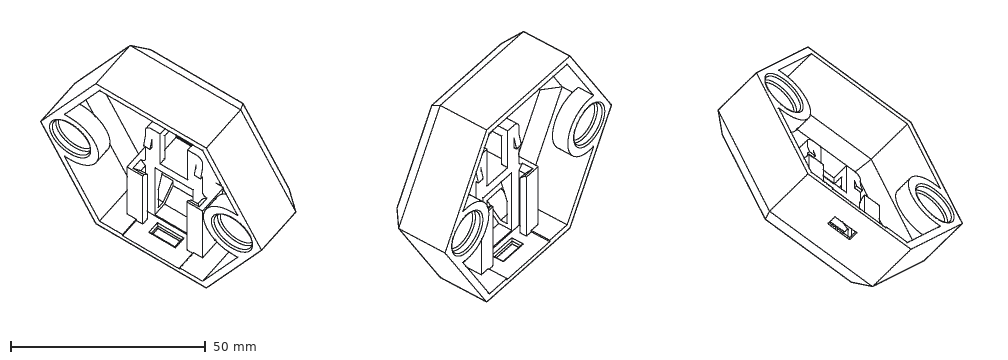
import cadquery as cq
import math

CORNER_RADIUS = 35.0
DEPTH = 20.0
BACK_SLOPE = 5.0
WALL = 2.0

APOTHEM = CORNER_RADIUS * math.cos(math.pi / 6)
FRONT_Y = -DEPTH / 2
BACK_Y = DEPTH / 2
FLOOR_Y = BACK_Y - WALL
INNER_APOTHEM = APOTHEM - WALL
SLOPE_BEND = math.tan(math.pi / 8)
FLOOR_APOTHEM = APOTHEM - BACK_SLOPE - WALL * SLOPE_BEND
INNER_SLOPE_Y = FLOOR_Y - (INNER_APOTHEM - FLOOR_APOTHEM)

BOSS_X = 25.6
BOSS_RADIUS = 9.0
BOSS_DEPTH = 5.0
MAGNET_RADIUS = 6.0
MAGNET_POCKET_DEPTH = 2.5
MAGNET_CHAMFER = 0.5

BED_Y = 0.0
BED_HALF_WIDTH = 9.0
BED_TOP = 8.0
BED_CORNER_RADIUS = 2.0
RAIL_TOP = -8.0
RAIL_HALF_WIDTH = 12.0
RAIL_FRONT_Y = -4.0
LIP_THICKNESS = 2.0
LIP_HALF_GAP = 7.0
LIP_BACK_Y = RAIL_FRONT_Y + LIP_THICKNESS
GUSSET_RADIUS = 1.5
LEAD_IN = 1.5

WINDOW_HALF_WIDTH = 6.0
PORT_HALF_HEIGHT = 5.0
PORT_FRONT_Y = 2.0
PORT_CHAMFER = 0.8
SLOT_HALF_WIDTH = 4.35
SLOT_FLOOR_Y = 5.0
ARM_THICKNESS = 1.5
PAD_THICKNESS = 1.5
SIDE_SLANT_Z = -19.05
SIDE_SLANT_DEPTH = 3.8

BUMP_WIDTH = 2.0
BUMP_HEIGHT = 3.5
BUMP_DEPTH = 0.8
BUMP_LIP = 0.2

RELIEF_DEPTH = 0.5
RELIEF_Z = -INNER_APOTHEM - RELIEF_DEPTH
CONNECTOR_WIDTH = 8.4
CONNECTOR_HEIGHT = 3.8
CONNECTOR_Y = -3.3
CONNECTOR_CHAMFER = 0.5

OVERCUT = 0.7


def box(x0, x1, y0, y1, z0, z1):
    return cq.Workplane("XY").box(x1 - x0, y1 - y0, z1 - z0, centered=False).translate((x0, y0, z0))


def hexagon(y, apothem):
    diameter = 2 * apothem / math.cos(math.pi / 6)
    return cq.Workplane("XZ", origin=(0, y, 0)).polygon(6, diameter)


def hex_prism(y0, y1, apothem):
    return hexagon(y0, apothem).extrude(y0 - y1)


def hex_frustum(y0, y1, apothem0, apothem1):
    diameter = 2 * apothem1 / math.cos(math.pi / 6)
    return hexagon(y0, apothem0).workplane(offset=y0 - y1).polygon(6, diameter).loft(ruled=True)


def disc(x, y0, y1, radius):
    return cq.Workplane("XZ", origin=(x, y0, 0)).circle(radius).extrude(y0 - y1)


def both_sides(right_half):
    return right_half.union(right_half.mirror("YZ"))


def outer_body():
    slope_y = BACK_Y - BACK_SLOPE
    prism = hex_prism(FRONT_Y, slope_y, APOTHEM)
    return prism.union(hex_frustum(slope_y, BACK_Y, APOTHEM, APOTHEM - BACK_SLOPE))


def cavity():
    prism = hex_prism(FRONT_Y, INNER_SLOPE_Y, INNER_APOTHEM)
    return prism.union(hex_frustum(INNER_SLOPE_Y, FLOOR_Y, INNER_APOTHEM, FLOOR_APOTHEM))


def boss():
    back = FRONT_Y + BOSS_DEPTH
    corner_fill = box(BOSS_X, CORNER_RADIUS, FRONT_Y, back, -BOSS_RADIUS, BOSS_RADIUS)
    return disc(BOSS_X, FRONT_Y, back, BOSS_RADIUS).union(corner_fill)


def magnet_pocket():
    """Round pocket, wider at the mouth and narrower at the bottom by the same chamfer."""
    bottom = FRONT_Y + MAGNET_POCKET_DEPTH
    profile = [
        (0, FRONT_Y),
        (MAGNET_RADIUS + MAGNET_CHAMFER, FRONT_Y),
        (MAGNET_RADIUS, FRONT_Y + MAGNET_CHAMFER),
        (MAGNET_RADIUS, bottom - MAGNET_CHAMFER),
        (MAGNET_RADIUS - MAGNET_CHAMFER, bottom),
        (0, bottom),
    ]
    return cq.Workplane("XY").polyline(profile).close().revolve(360).translate((BOSS_X, 0, 0))


def bed():
    block = box(-BED_HALF_WIDTH, BED_HALF_WIDTH, BED_Y, BACK_Y, -APOTHEM, BED_TOP)
    return block.edges("|Y and >Z").fillet(BED_CORNER_RADIUS)


def rail():
    """Right rail: side block, board-retaining lip, lead-in at the top and the gusset beside the bed."""
    side = box(BED_HALF_WIDTH, RAIL_HALF_WIDTH, RAIL_FRONT_Y, BACK_Y, -APOTHEM, RAIL_TOP)
    lip = box(LIP_HALF_GAP, RAIL_HALF_WIDTH, RAIL_FRONT_Y, LIP_BACK_Y, -APOTHEM, RAIL_TOP)
    arc_middle = GUSSET_RADIUS * (1 - math.sqrt(0.5))
    gusset = (
        cq.Workplane("XZ", origin=(BED_HALF_WIDTH, BED_Y, RAIL_TOP))
        .lineTo(GUSSET_RADIUS, 0)
        .threePointArc((arc_middle, arc_middle), (0, GUSSET_RADIUS)).close()
        .extrude(BED_Y - BACK_Y)
    )
    return side.union(lip).union(gusset).cut(lead_in())


def lead_in():
    """Funnel that widens the board slot outwards and forwards towards the rail top."""
    slot_depth = BED_Y - LIP_BACK_Y
    return (
        cq.Workplane("XY", origin=(0, BED_Y, RAIL_TOP - LEAD_IN))
        .rect(BED_HALF_WIDTH, -slot_depth, centered=False)
        .workplane(offset=LEAD_IN)
        .rect(BED_HALF_WIDTH + LEAD_IN, -slot_depth - LEAD_IN, centered=False)
        .loft(ruled=True)
    )


def side_opening():
    """Passage along X behind the rails and arms, leaving a pad on the sloped wall below."""
    pad_z = -INNER_APOTHEM + PAD_THICKNESS
    pad_slope_y = INNER_SLOPE_Y - PAD_THICKNESS * SLOPE_BEND
    back = BED_Y + ARM_THICKNESS
    outline = [
        (back, pad_z),
        (pad_slope_y, pad_z),
        (FLOOR_Y, pad_z + FLOOR_Y - pad_slope_y),
        (FLOOR_Y, RAIL_TOP),
        (back + SIDE_SLANT_DEPTH, RAIL_TOP),
        (back, SIDE_SLANT_Z),
    ]
    length = RAIL_HALF_WIDTH - WINDOW_HALF_WIDTH
    return cq.Workplane("YZ", origin=(WINDOW_HALF_WIDTH, 0, 0)).polyline(outline).close().extrude(length)


def bed_window():
    """Part of the cavity seen between the two arms, below the crossbar."""
    column = box(-WINDOW_HALF_WIDTH, WINDOW_HALF_WIDTH, BED_Y, BACK_Y, -APOTHEM, RAIL_TOP)
    return column.intersect(cavity())


def floor_port():
    """Wide port through the floor, with a narrower slot in front of it that is open at the top."""
    port = box(
        -WINDOW_HALF_WIDTH, WINDOW_HALF_WIDTH, PORT_FRONT_Y, BACK_Y,
        -PORT_HALF_HEIGHT, PORT_HALF_HEIGHT,
    )
    width = 2 * WINDOW_HALF_WIDTH
    height = 2 * PORT_HALF_HEIGHT
    chamfer = (
        cq.Workplane("XZ", origin=(0, BACK_Y, 0))
        .rect(width + 2 * PORT_CHAMFER, height + 2 * PORT_CHAMFER)
        .workplane(offset=PORT_CHAMFER)
        .rect(width, height)
        .loft(ruled=True)
    )
    slot = box(
        -SLOT_HALF_WIDTH, SLOT_HALF_WIDTH, BED_Y - OVERCUT, SLOT_FLOOR_Y,
        -PORT_HALF_HEIGHT, BED_TOP + OVERCUT,
    )
    return port.union(chamfer).union(slot)


def bump():
    """Wedge on the front of the right arm: gentle slope above, sharp ledge below."""
    return (
        cq.Workplane("YZ", origin=(BED_HALF_WIDTH - BUMP_WIDTH, BED_Y, 0))
        .polyline([(0, 0), (-BUMP_DEPTH, 0), (-BUMP_DEPTH, BUMP_LIP), (0, BUMP_HEIGHT)]).close()
        .extrude(BUMP_WIDTH)
    )


def connector_hole():
    through = box(
        -CONNECTOR_WIDTH / 2 + CONNECTOR_CHAMFER, CONNECTOR_WIDTH / 2 - CONNECTOR_CHAMFER,
        CONNECTOR_Y - CONNECTOR_HEIGHT / 2 + CONNECTOR_CHAMFER,
        CONNECTOR_Y + CONNECTOR_HEIGHT / 2 - CONNECTOR_CHAMFER,
        -APOTHEM - OVERCUT, RELIEF_Z,
    )
    mouth = (
        cq.Workplane("XY", origin=(0, CONNECTOR_Y, RELIEF_Z))
        .rect(CONNECTOR_WIDTH, CONNECTOR_HEIGHT)
        .workplane(offset=-CONNECTOR_CHAMFER)
        .rect(CONNECTOR_WIDTH - 2 * CONNECTOR_CHAMFER, CONNECTOR_HEIGHT - 2 * CONNECTOR_CHAMFER)
        .loft(ruled=True)
    )
    return through.union(mouth)


def board_relief():
    return box(-BED_HALF_WIDTH, BED_HALF_WIDTH, FRONT_Y, BED_Y, RELIEF_Z, -INNER_APOTHEM + OVERCUT)


outer = outer_body()
shell = outer.cut(cavity()).cut(board_relief())

holder = bed().union(both_sides(rail()))
holder = holder.cut(bed_window()).cut(both_sides(side_opening()))
holder = holder.union(both_sides(bump()))

result = shell.union(holder.union(both_sides(boss())).intersect(outer))
result = result.cut(both_sides(magnet_pocket()))
result = result.cut(floor_port())
result = result.cut(connector_hole())